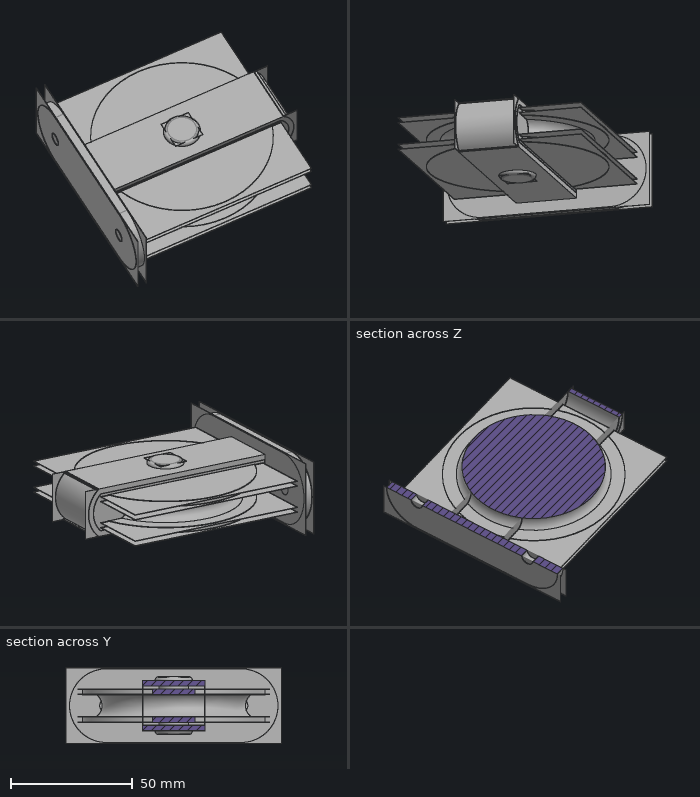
import cadquery as cq
import math

sheet = 0.2
proud = 0.1

front_y = -44.25
base_thickness = 4.2
base_back_y = front_y + base_thickness
base_length = 85.4
base_height = 30.2
base_sheet_length = 88.4
base_sheet_height = 31.2
hole_diameter = 5.45
hole_spacing = base_length - base_height

back_y = front_y + 90.9
strap_half_width = 12.9
strap_outer_z = 10.4
strap_thickness = 2.4
strap_inner_z = strap_outer_z - strap_thickness
bend_radius = 13.2
bend_tip_y = 45.2
bend_centre_y = bend_tip_y - bend_radius
flat_end_y = 41.5

pulley_radius = 37.4
pulley_half_width = 6.9
groove_half_width = 4.45
groove_edge_radius = 31.7
throat_radius = 29.4
pulley_sheet_side = 78.4

axle_radius = 6.0
head_radius = 7.6
head_top_z = 11.9
head_sheet_side = 12.6
head_shoulder_radius = 7.2
head_shoulder_z = 11.45


def block(x_range, y_range, z_range):
    """Axis-aligned block between the given limits."""
    (x0, x1), (y0, y1), (z0, z1) = x_range, y_range, z_range
    return cq.Workplane("XY").box(x1 - x0, y1 - y0, z1 - z0, centered=False).translate((x0, y0, z0))


def flat_sheet(side, top_z):
    """Square horizontal sheet centred on the pulley axis."""
    half = side / 2
    return block((-half, half), (-half, half), (top_z - sheet, top_z))


def base_sheet(start_y):
    """Upright rectangular sheet, extending back from start_y."""
    half_x = base_sheet_length / 2
    half_z = base_sheet_height / 2
    return block((-half_x, half_x), (start_y, start_y + sheet), (-half_z, half_z))


def make_base():
    """Round-ended plate between two sheets, which cover both ends of its holes."""
    plate = (
        cq.Workplane("XZ", origin=(0, base_back_y, 0))
        .slot2D(base_length, base_height)
        .extrude(base_thickness)
    )
    holes = (
        cq.Workplane("XZ", origin=(0, base_back_y, 0))
        .pushPoints([(-hole_spacing / 2, 0), (hole_spacing / 2, 0)])
        .circle(hole_diameter / 2)
        .extrude(base_thickness)
    )
    plate = plate.cut(holes)
    return plate.union(base_sheet(front_y + proud)).union(base_sheet(base_back_y - sheet))


def strap_profile(half_z, radius):
    """Solid with straight legs and a bowed far end, across the strap width."""
    leg_end_y = bend_centre_y + math.sqrt(radius**2 - half_z**2)
    return (
        cq.Workplane("YZ", origin=(-strap_half_width, 0, 0))
        .moveTo(base_back_y, -half_z)
        .lineTo(leg_end_y, -half_z)
        .threePointArc((bend_centre_y + radius, 0), (leg_end_y, half_z))
        .lineTo(base_back_y, half_z)
        .close()
        .extrude(2 * strap_half_width)
    )


def make_strap():
    """U-shaped strap with flat leg skins and a sheet closing each side."""
    strap = strap_profile(strap_outer_z, bend_radius)
    strap = strap.cut(strap_profile(strap_inner_z, bend_radius - strap_thickness))
    across = (-strap_half_width, strap_half_width)
    along = (base_back_y, flat_end_y)
    outer_skin_z = strap_outer_z - proud
    for skin_z in (outer_skin_z - sheet, strap_inner_z, -strap_inner_z - sheet, -outer_skin_z):
        strap = strap.union(block(across, along, (skin_z, skin_z + sheet)))
    sheet_outer_x = strap_half_width - proud
    for sheet_x in (-sheet_outer_x, sheet_outer_x - sheet):
        side = block((sheet_x, sheet_x + sheet), (base_back_y, back_y), (-strap_outer_z, strap_outer_z))
        strap = strap.union(side)
    return strap


def make_pulley():
    """Grooved wheel with a square sheet at each face of its two rims."""
    wheel = (
        cq.Workplane("XZ")
        .moveTo(0, -pulley_half_width)
        .lineTo(pulley_radius, -pulley_half_width)
        .lineTo(pulley_radius, -groove_half_width)
        .lineTo(groove_edge_radius, -groove_half_width)
        .threePointArc((throat_radius, 0), (groove_edge_radius, groove_half_width))
        .lineTo(pulley_radius, groove_half_width)
        .lineTo(pulley_radius, pulley_half_width)
        .lineTo(0, pulley_half_width)
        .close()
        .revolve(360, (0, 0), (0, 1))
    )
    outer_top = pulley_half_width - proud
    inner_top = groove_half_width + proud + sheet
    for top_z in (outer_top, inner_top, sheet - inner_top, sheet - outer_top):
        wheel = wheel.union(flat_sheet(pulley_sheet_side, top_z))
    return wheel


def make_axle():
    """Axle with a rounded head on each side and a square sheet on each head."""
    axle = (
        cq.Workplane("XZ")
        .moveTo(0, -head_top_z)
        .lineTo(axle_radius, -head_top_z)
        .threePointArc((head_shoulder_radius, -head_shoulder_z), (head_radius, -strap_outer_z))
        .lineTo(axle_radius, -strap_outer_z)
        .lineTo(axle_radius, strap_outer_z)
        .lineTo(head_radius, strap_outer_z)
        .threePointArc((head_shoulder_radius, head_shoulder_z), (axle_radius, head_top_z))
        .lineTo(0, head_top_z)
        .close()
        .revolve(360, (0, 0), (0, 1))
    )
    sheet_top = head_top_z - proud
    for top_z in (sheet_top, sheet - sheet_top):
        axle = axle.union(flat_sheet(head_sheet_side, top_z))
    return axle


result = make_base().union(make_strap()).union(make_pulley()).union(make_axle())